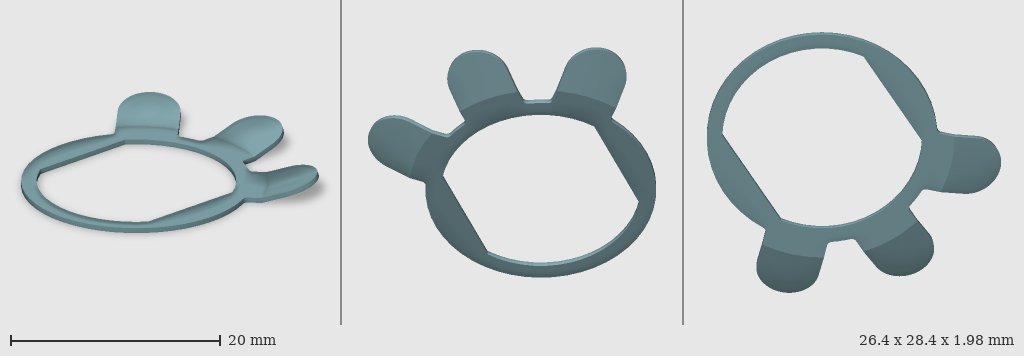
import cadquery as cq
import math

thickness = 0.5
ring_radius = 11.0
bore_radius = 9.52
bore_flat_width = 15.85
tab_width = 6.03
tab_length = 4.97
bend_radius = 12.53
bend_angle = 17.3
root_fillet = 0.5
tab_angles = (-45, 0, 45)
trim_margin = 1.42

tab_end_radius = tab_width / 2
slope = math.tan(math.radians(bend_angle))
bend_shift = thickness * math.tan(math.radians(bend_angle / 2))
sheet_radius = bend_radius + tab_length + trim_margin
cone_top = thickness + (sheet_radius - bend_radius) * slope
cone_bottom = (sheet_radius - bend_radius - bend_shift) * slope


def bent_sheet():
    """Dish of even thickness: a flat disc that turns up into a cone at the bend."""
    return (
        cq.Workplane("XZ")
        .moveTo(0, 0)
        .lineTo(bend_radius + bend_shift, 0)
        .lineTo(sheet_radius, cone_bottom)
        .lineTo(sheet_radius, cone_top)
        .lineTo(bend_radius, thickness)
        .lineTo(0, thickness)
        .close()
        .revolve(360, (0, 0, 0), (0, 1, 0))
    )


def tab_outline():
    """Round-ended prism along +Y, square to the sloped sheet at the tab tip."""
    end_center = tab_length - tab_end_radius
    root = ring_radius - bend_radius - trim_margin
    height = cone_top + trim_margin
    return (
        cq.Workplane("XY")
        .moveTo(-tab_end_radius, root)
        .lineTo(-tab_end_radius, end_center)
        .threePointArc((0, tab_length), (tab_end_radius, end_center))
        .lineTo(tab_end_radius, root)
        .close()
        .extrude(height, both=True)
        .rotate((0, 0, 0), (1, 0, 0), bend_angle)
        .translate((0, bend_radius, thickness))
    )


def root_corners():
    """Selector for the places where the tab sides meet the ring rim."""
    root_y = math.sqrt(ring_radius**2 - tab_end_radius**2)
    selector = None
    for angle in tab_angles:
        turn = math.radians(angle)
        for x in (-tab_end_radius, tab_end_radius):
            corner_x = x * math.cos(turn) - root_y * math.sin(turn)
            corner_y = x * math.sin(turn) + root_y * math.cos(turn)
            near = cq.selectors.BoxSelector(
                (corner_x - root_fillet / 2, corner_y - root_fillet / 2, 0),
                (corner_x + root_fillet / 2, corner_y + root_fillet / 2, thickness),
            )
            selector = near if selector is None else selector + near
    return selector


tab = bent_sheet().intersect(tab_outline())
body = cq.Workplane("XY").circle(ring_radius).extrude(thickness)
for tab_angle in tab_angles:
    body = body.union(tab.rotate((0, 0, 0), (0, 0, 1), tab_angle))
body = body.edges("|Z").edges(root_corners()).fillet(root_fillet)

bore = (
    cq.Workplane("XY")
    .circle(bore_radius)
    .extrude(thickness)
    .intersect(cq.Workplane("XY").rect(bore_flat_width, 2 * bore_radius).extrude(thickness))
)
result = body.cut(bore)